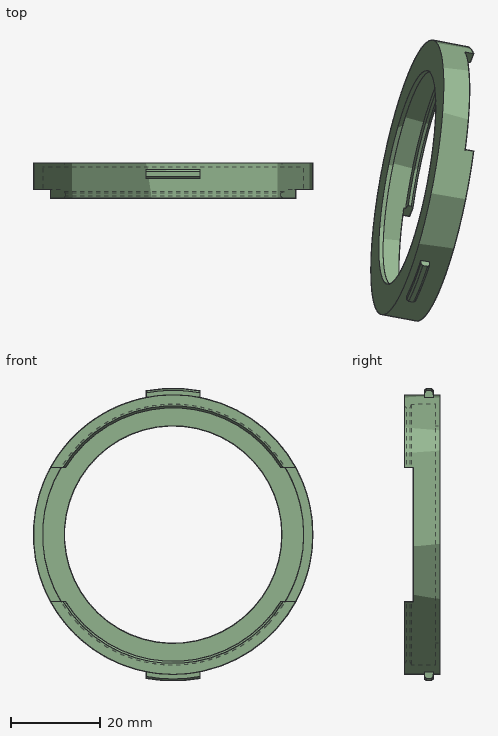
import cadquery as cq

outer_diameter = 62.5
outer_radius = outer_diameter / 2
bore_radius = 24.3
recess_radius = 29.2
ring_depth = 8.0
floor_thickness = 1.0

lip_crest_radius = 28.35
lip_mouth_radius = 28.8
lip_taper_depth = 0.5
lip_crest_end_depth = 1.25
lip_depth = 1.6

notch_depth = 1.95
notch_height = 30.0

tab_tip_radius = 32.7
tab_width = 12.05
tab_thickness = 2.0
tab_back_offset = 1.5
tab_chamfer = 0.45


def revolve_about_y(profile_points):
    """Revolve a closed (radius, y) profile around the Y axis."""
    return cq.Workplane("XY").polyline(profile_points).close().revolve(360, (0, 0, 0), (0, 1, 0))


def make_ring():
    front = -ring_depth
    crest_start = front + lip_taper_depth
    crest_end = front + lip_crest_end_depth
    lip_back = front + lip_depth
    return revolve_about_y([
        (bore_radius, 0),
        (outer_radius, 0),
        (outer_radius, front),
        (lip_mouth_radius, front),
        (lip_crest_radius, crest_start),
        (lip_crest_radius, crest_end),
        (recess_radius, lip_back),
        (recess_radius, -floor_thickness),
        (bore_radius, -floor_thickness),
    ])


def make_notch():
    """Slab through both sides of the front rim."""
    return (
        cq.Workplane("XY")
        .box(2 * outer_radius, notch_depth, notch_height)
        .translate((0, -ring_depth + notch_depth / 2, 0))
    )


def make_tabs():
    """Both tabs, cut to width from one chamfered collar."""
    back = -tab_back_offset
    front = back - tab_thickness
    root_radius = (outer_radius + recess_radius) / 2
    shoulder_radius = tab_tip_radius - tab_chamfer
    collar = revolve_about_y([
        (root_radius, back),
        (shoulder_radius, back),
        (tab_tip_radius, back - tab_chamfer),
        (tab_tip_radius, front + tab_chamfer),
        (shoulder_radius, front),
        (root_radius, front),
    ])
    width_slab = cq.Workplane("XY").box(tab_width, 2 * ring_depth, 2 * tab_tip_radius)
    return collar.intersect(width_slab)


result = make_ring().cut(make_notch()).union(make_tabs())